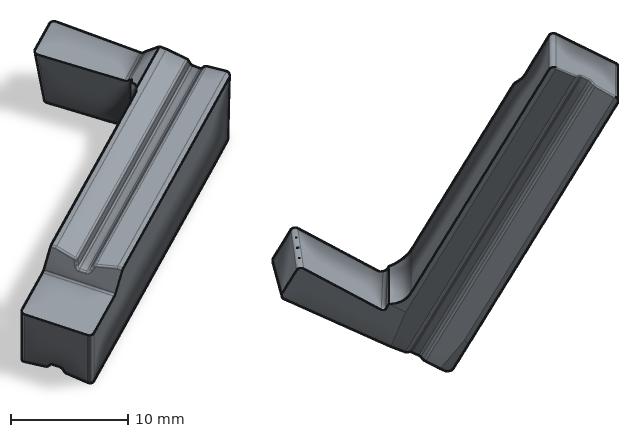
import cadquery as cq
import math

LENGTH = 30.9
OVERALL_WIDTH = 17.0
HEIGHT = 8.05
SHANK_WIDTH = 6.67
HALF_WIDTH = SHANK_WIDTH / 2
FRONT_CORNER_RADIUS = 0.43
BACK_CORNER_RADIUS = 0.6
BOTTOM_EDGE_RADIUS = 0.12

BLADE_TIP_X = HALF_WIDTH - OVERALL_WIDTH
BLADE_TOP = 6.43
BLADE_WIDTH = 4.02
TIP_RELIEF = math.tan(math.radians(6.6))
SIDE_RELIEF = math.tan(math.radians(2.5))
BACK_TAPER_ANGLE = math.radians(2.3)
FRONT_TAPER = math.tan(math.radians(1.9))
BACK_TAPER = math.tan(BACK_TAPER_ANGLE)
TIP_CORNER_RADIUS = 0.43
UNDERSIDE_RISE = 0.1

SHOULDER_X = -4.48
SHOULDER_Y = 26.65
SHOULDER_ARC_RUN = 1.82
SHOULDER_FILLET = 0.28

BLADE_RAMP_TOP_X = -3.5
BLADE_RAMP_KINK = (-4.73, 6.85)
BLADE_RAMP_FOOT_X = -5.1
BLADE_RAMP_RADIUS = 0.37
SEAT_LENGTH = 5.0
SEAT_RAMP_ANGLE = math.radians(45)
SEAT_RAMP_RADIUS = 0.37
SEAT_RAMP_EDGE_RADIUS = 0.35

LAND_WIDTH = 0.5
V_DEPTH = 0.3
SLOT_DEPTH = 0.85
SLOT_HALF_TOP = 0.83
SLOT_HALF_FLOOR = 0.45
SLOT_EDGE_RADIUS = 0.3
SLOT_FLOOR_RADIUS = 0.25

MARGIN = 1.55
GAP = 0.03
SHANK_END_Y = 28.75


def shank():
    """Bar with the curved shoulder that leads out to the blade."""
    arc_width = -HALF_WIDTH - SHOULDER_X
    radius = (arc_width**2 + SHOULDER_ARC_RUN**2) / (2 * arc_width)
    half_sweep = math.asin(SHOULDER_ARC_RUN / radius) / 2
    arc_start_y = SHOULDER_Y - SHOULDER_ARC_RUN
    arc_middle = (
        -HALF_WIDTH - radius * (1 - math.cos(half_sweep)),
        arc_start_y + radius * math.sin(half_sweep),
    )
    return (
        cq.Workplane("XY")
        .moveTo(-HALF_WIDTH, 0)
        .lineTo(-HALF_WIDTH, arc_start_y)
        .threePointArc(arc_middle, (SHOULDER_X, SHOULDER_Y))
        .lineTo(SHOULDER_X, SHANK_END_Y)
        .lineTo(HALF_WIDTH, SHANK_END_Y)
        .lineTo(HALF_WIDTH, 0)
        .close()
        .extrude(HEIGHT)
    )


def blade_outline(z):
    """Corners of the blade at height z; the relief shrinks it towards the underside."""
    drop = BLADE_TOP - z
    tip_x = BLADE_TIP_X + drop * TIP_RELIEF
    corner_loss = TIP_CORNER_RADIUS * (BACK_TAPER + 1 / math.cos(BACK_TAPER_ANGLE) - 1)
    back_y = LENGTH + corner_loss
    front_y = LENGTH - BLADE_WIDTH

    def back_point(x):
        return (x, back_y - drop * SIDE_RELIEF - (x - BLADE_TIP_X) * BACK_TAPER)

    def front_point(x):
        return (x, front_y + drop * SIDE_RELIEF + (x - BLADE_TIP_X) * FRONT_TAPER)

    return [back_point(tip_x), front_point(tip_x), front_point(HALF_WIDTH), back_point(HALF_WIDTH)]


def blade():
    """Relieved arm whose back face also closes the end of the shank."""
    return (
        cq.Workplane("XY")
        .polyline(blade_outline(0))
        .close()
        .workplane(offset=HEIGHT)
        .polyline(blade_outline(HEIGHT))
        .close()
        .loft(ruled=True)
    )


def blade_step():
    """Space above the blade, ending in a two-angle ramp with a rounded foot."""
    kink_x, kink_z = BLADE_RAMP_KINK
    steepness = math.atan2(kink_z - BLADE_TOP, kink_x - BLADE_RAMP_FOOT_X)
    tangent = BLADE_RAMP_RADIUS * math.tan(steepness / 2)
    arc_end = (
        BLADE_RAMP_FOOT_X + tangent * math.cos(steepness),
        BLADE_TOP + tangent * math.sin(steepness),
    )
    ramp_slope = (HEIGHT - kink_z) / (BLADE_RAMP_TOP_X - kink_x)
    return (
        cq.Workplane("XZ", origin=(0, LENGTH + MARGIN, 0))
        .moveTo(BLADE_TIP_X - MARGIN, BLADE_TOP)
        .lineTo(BLADE_RAMP_FOOT_X - tangent, BLADE_TOP)
        .tangentArcPoint(arc_end, relative=False)
        .lineTo(kink_x, kink_z)
        .lineTo(BLADE_RAMP_TOP_X + MARGIN / ramp_slope, HEIGHT + MARGIN)
        .lineTo(BLADE_TIP_X - MARGIN, HEIGHT + MARGIN)
        .close()
        .extrude(LENGTH + 2 * MARGIN)
    )


def front_step():
    """Space above the front seat, ending in a straight ramp with a rounded foot."""
    tangent = SEAT_RAMP_RADIUS * math.tan(SEAT_RAMP_ANGLE / 2)
    reach = (HEIGHT + MARGIN - BLADE_TOP) / math.tan(SEAT_RAMP_ANGLE)
    arc_end = (
        SEAT_LENGTH + tangent * math.cos(SEAT_RAMP_ANGLE),
        BLADE_TOP + tangent * math.sin(SEAT_RAMP_ANGLE),
    )
    return (
        cq.Workplane("YZ", origin=(-HALF_WIDTH - MARGIN, 0, 0))
        .moveTo(-MARGIN, BLADE_TOP)
        .lineTo(SEAT_LENGTH - tangent, BLADE_TOP)
        .tangentArcPoint(arc_end, relative=False)
        .lineTo(SEAT_LENGTH + reach, HEIGHT + MARGIN)
        .lineTo(-MARGIN, HEIGHT + MARGIN)
        .close()
        .extrude(SHANK_WIDTH + 2 * MARGIN)
    )


def clamping_groove():
    """Full-length groove cutter opening upwards at the top of the shank."""
    land_edge = HALF_WIDTH - LAND_WIDTH
    right_side = [
        (land_edge, HEIGHT),
        (SLOT_HALF_TOP, HEIGHT - V_DEPTH),
        (SLOT_HALF_FLOOR, HEIGHT - SLOT_DEPTH),
    ]
    left_side = [(-x, z) for x, z in reversed(right_side)]
    cutter = (
        cq.Workplane("XZ", origin=(0, LENGTH + MARGIN, 0))
        .polyline(right_side + left_side)
        .close()
        .extrude(LENGTH + 2 * MARGIN)
    )
    for half_width, depth, radius in (
        (SLOT_HALF_TOP, V_DEPTH, SLOT_EDGE_RADIUS),
        (SLOT_HALF_FLOOR, SLOT_DEPTH, SLOT_FLOOR_RADIUS),
    ):
        for x in (-half_width, half_width):
            corner = cq.selectors.NearestToPointSelector((x, LENGTH / 2, HEIGHT - depth))
            cutter = cutter.edges("|Y").edges(corner).fillet(radius)
    return cutter


def underside_relief():
    """Shallow wedge that lifts the underside towards the back end."""
    return (
        cq.Workplane("YZ", origin=(BLADE_TIP_X - MARGIN, 0, 0))
        .polyline([(SHOULDER_Y, 0), (LENGTH, 0), (LENGTH, UNDERSIDE_RISE)])
        .close()
        .extrude(HALF_WIDTH - BLADE_TIP_X + 2 * MARGIN)
    )


def upright_edge(x, y):
    """Selector for the steep edge nearest to a plan position at half the blade height."""
    return cq.selectors.NearestToPointSelector((x, y, BLADE_TOP / 2))


def profile_edges(y_min, y_max, z_min, z_max):
    """Selector for edges across the shank with centres in this range, leaving out its sides."""
    inside = HALF_WIDTH - LAND_WIDTH / 4
    return cq.selectors.BoxSelector((-inside, y_min, z_min), (inside, y_max, z_max))


def front_corner():
    """Waste outside the rounded upright corner at the front right of the shank."""
    inset = FRONT_CORNER_RADIUS * (1 - math.sqrt(0.5))
    return (
        cq.Workplane("XY")
        .moveTo(HALF_WIDTH - FRONT_CORNER_RADIUS, 0)
        .threePointArc((HALF_WIDTH - inset, inset), (HALF_WIDTH, FRONT_CORNER_RADIUS))
        .lineTo(HALF_WIDTH, 0)
        .close()
        .extrude(HEIGHT)
    )


def round_ends_of_grooves(solid):
    """Round the groove profile where it meets the front face and the seat ramp."""
    bottom_front = profile_edges(-GAP, GAP, -GAP, SLOT_DEPTH + GAP)
    solid = solid.edges(bottom_front).fillet(BOTTOM_EDGE_RADIUS)
    ramp_top_y = SEAT_LENGTH + (HEIGHT - BLADE_TOP) / math.tan(SEAT_RAMP_ANGLE)
    slot_setback = SLOT_DEPTH / math.tan(SEAT_RAMP_ANGLE) + GAP
    reach = SLOT_DEPTH + GAP
    ramp_top = profile_edges(ramp_top_y - slot_setback, ramp_top_y + GAP, HEIGHT - reach, HEIGHT + GAP)
    return solid.edges(ramp_top).fillet(SEAT_RAMP_EDGE_RADIUS)


tip_back, tip_front, _, root_back = blade_outline(BLADE_TOP / 2)
shoulder_corner_y = tip_front[1] + (SHOULDER_X - tip_front[0]) * FRONT_TAPER

top_groove = clamping_groove()
bottom_groove = top_groove.mirror("XY", (0, 0, HEIGHT / 2))

body = shank().union(blade())
for corner, radius in (
    (tip_back, TIP_CORNER_RADIUS),
    (tip_front, TIP_CORNER_RADIUS),
    (root_back, BACK_CORNER_RADIUS),
    ((SHOULDER_X, shoulder_corner_y), SHOULDER_FILLET),
):
    body = body.edges(upright_edge(*corner)).fillet(radius)
for cutter in (blade_step(), front_step(), top_groove, bottom_groove, underside_relief()):
    body = body.cut(cutter)
body = round_ends_of_grooves(body)
right_corner = front_corner()
result = body.cut(right_corner).cut(right_corner.mirror("YZ"))